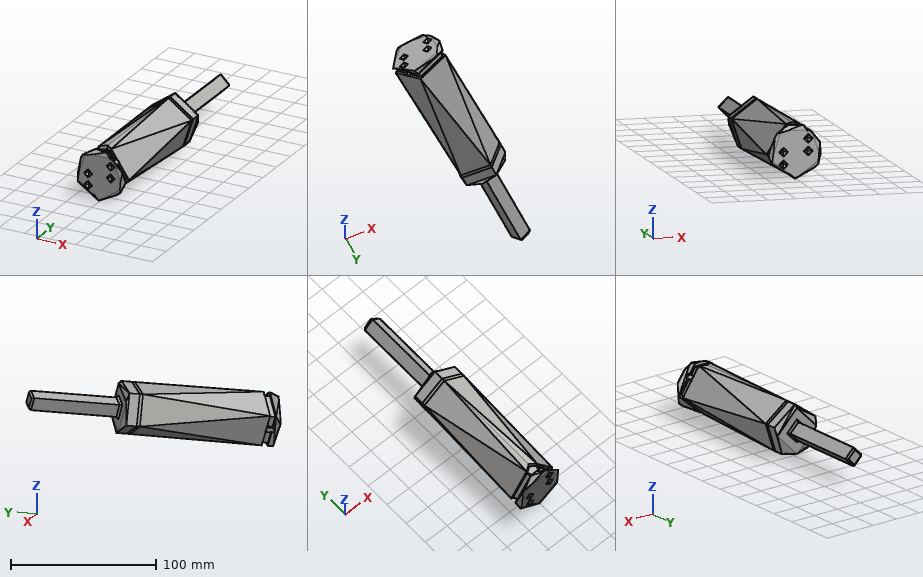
import cadquery as cq
import math

CAP_FRONT = 0
CAP_REAR = 3.9
GRIP_FRONT = 8.3
GRIP_REAR = 100.2
RING_REAR = 102.5
SHOULDER_START = 110.0
COLLAR_REAR = 112.0
FLARE_END = 113.6
TIP_START = 175.4
TIP_END = 177

GRIP_RADIUS = 19.03
SIDE_CORNER_X = 18.85
TOP_CORNER_X = 4.8
TOP_CORNER_Z = 18.0
TOP_RIDGE_Z = 18.5
COLLAR_END_RADIUS = 17.0
SHAFT_RADIUS = 7.0
FLARE_RADIUS = 8.5
TIP_RADIUS = 5.7
NECK_SCALE = 0.88

BOSS_RADIUS = 5.0
BOSS_Y = 6.81
BOSS_BASE = 10.6
BOSS_TOP = 16.0
BOSS_CHAMFER = 0.5

RIM_ANGLES = (72, 138, 206, 268, 326, 385)
FACE_RADIUS = 18.5
BEVEL_GROWTH = 5

PIN_RADIUS = 2.5
PIN_OFFSET = 9.0
PIN_FRONT = 2.1
PIT_OFFSET = 8.8
PIT_RADIUS = 3.1
PIT_DEPTH = 1.8


def polar(radius, angle):
    """Point (x, z) at an angle in degrees, counted from +X towards +Z."""
    turn = math.radians(angle)
    return (radius * math.cos(turn), radius * math.sin(turn))


def regular_ring(sides, radius, first_angle=90):
    return [polar(radius, first_angle + 360 * i / sides) for i in range(sides)]


def prism(ring, y_start, y_end):
    """Straight prism along Y with the outline `ring` of (x, z) points."""
    plane = cq.Plane(origin=(0, y_start, 0), xDir=(1, 0, 0), normal=(0, -1, 0))
    return cq.Workplane(plane).polyline(ring).close().extrude(y_start - y_end)


def ring_angle(point):
    """Angle around the Y axis, counted from 60 degrees so that a ring starts at its top."""
    return (math.degrees(math.atan2(point[1], point[0])) - 60) % 360


def flat_face(points):
    return cq.Face.makeFromWires(cq.Wire.makePolygon(points, close=True))


def faceted(front_ring, y_front, rear_ring, y_rear):
    """Solid between two different outlines, its side made of triangles taken in angular order."""
    front = sorted(front_ring, key=ring_angle)
    rear = sorted(rear_ring, key=ring_angle)
    front_angles = [ring_angle(p) for p in front]
    rear_angles = [ring_angle(p) for p in rear]
    front_points = [cq.Vector(x, y_front, z) for x, z in front]
    rear_points = [cq.Vector(x, y_rear, z) for x, z in rear]
    faces = [flat_face(front_points), flat_face(rear_points)]
    front_points.append(front_points[0])
    rear_points.append(rear_points[0])
    front_angles.append(front_angles[0] + 360)
    rear_angles.append(rear_angles[0] + 360)
    i = 0
    j = 0
    while i < len(front) or j < len(rear):
        step_front = j == len(rear) or (i < len(front) and front_angles[i + 1] <= rear_angles[j + 1])
        if step_front:
            faces.append(flat_face([front_points[i], front_points[i + 1], rear_points[j]]))
            i += 1
        else:
            faces.append(flat_face([front_points[i], rear_points[j], rear_points[j + 1]]))
            j += 1
    solid = cq.Solid.makeSolid(cq.Shell.makeShell(faces)).fix()
    return cq.Workplane(obj=solid)


def pentagon_ring():
    return regular_ring(5, GRIP_RADIUS)


def grip_front_ring():
    """Front outline of the grip: pointed below, two side corners and a slightly ridged top."""
    side_z = -math.sqrt(GRIP_RADIUS**2 - SIDE_CORNER_X**2)
    return [
        (TOP_CORNER_X, TOP_CORNER_Z),
        (0, TOP_RIDGE_Z),
        (-TOP_CORNER_X, TOP_CORNER_Z),
        (-SIDE_CORNER_X, side_z),
        (0, -GRIP_RADIUS),
        (SIDE_CORNER_X, side_z),
    ]


def square_bar(radius, y_start, y_end, x=0, z=0):
    """Square bar along Y standing on one corner."""
    return prism(regular_ring(4, radius), y_start, y_end).translate((x, 0, z))


def make_pin(side):
    """Square pin from the grip into the cap; `side` +1 is at +X and +Z, -1 at -X and -Z."""
    return square_bar(PIN_RADIUS, PIN_FRONT, GRIP_FRONT, side * PIN_OFFSET, side * PIN_OFFSET)


def make_shaft():
    flare = faceted(
        regular_ring(4, FLARE_RADIUS), COLLAR_REAR, regular_ring(4, SHAFT_RADIUS), FLARE_END
    )
    bar = square_bar(SHAFT_RADIUS, FLARE_END, TIP_START)
    tip = faceted(regular_ring(4, SHAFT_RADIUS), TIP_START, regular_ring(4, TIP_RADIUS), TIP_END)
    return flare.union(bar).union(tip)


def make_collar():
    shoulder = faceted(
        pentagon_ring(), SHOULDER_START, regular_ring(4, COLLAR_END_RADIUS), COLLAR_REAR
    )
    return prism(pentagon_ring(), RING_REAR, SHOULDER_START).union(shoulder)


def make_ring():
    return prism(pentagon_ring(), GRIP_REAR, RING_REAR)


def behind_cap(shape):
    """Part of `shape` that lies behind the cap."""
    return shape.intersect(prism(regular_ring(4, 2 * GRIP_RADIUS), CAP_REAR, GRIP_REAR))


def boss_prism(z_start, z_end):
    """Pentagonal prism along Z with one corner pointing to +Y."""
    outline = [(x, y + BOSS_Y) for x, y in regular_ring(5, BOSS_RADIUS)]
    base = cq.Workplane("XY", origin=(0, 0, z_start))
    return base.polyline(outline).close().extrude(z_end - z_start)


def make_grip(pins):
    body = faceted(grip_front_ring(), GRIP_FRONT, pentagon_ring(), GRIP_REAR)
    neck_ring = [(NECK_SCALE * x, NECK_SCALE * z) for x, z in grip_front_ring()]
    neck = prism(neck_ring, CAP_REAR, GRIP_FRONT)
    notch = boss_prism(BOSS_TOP - BOSS_CHAMFER, GRIP_RADIUS)
    boss = boss_prism(BOSS_BASE, BOSS_TOP).faces(">Z").chamfer(BOSS_CHAMFER)
    grip = body.union(neck).cut(notch).union(behind_cap(boss))
    for pin in pins:
        grip = grip.cut(pin)
    return grip


def make_cap(pins):
    rim = [polar(GRIP_RADIUS, angle) for angle in RIM_ANGLES]
    cap = faceted(rim, CAP_FRONT, grip_front_ring(), CAP_REAR)

    bevel_rear_radius = FACE_RADIUS + BEVEL_GROWTH * (CAP_REAR - CAP_FRONT)
    bevel = faceted(
        regular_ring(5, FACE_RADIUS, -90),
        CAP_FRONT,
        regular_ring(5, bevel_rear_radius, -90),
        CAP_REAR,
    )
    cap = cap.intersect(bevel)

    pit_centres = [(side * PIT_OFFSET, z) for side in (-1, 1) for z in (0, side * PIT_OFFSET)]
    for x, z in pit_centres:
        apex = cq.Vector(x, CAP_FRONT + PIT_DEPTH, z)
        base = [cq.Vector(x + dx, CAP_FRONT, z + dz) for dx, dz in regular_ring(4, PIT_RADIUS)]
        sides = [flat_face([base[k - 1], base[k], apex]) for k in range(4)]
        pit = cq.Solid.makeSolid(cq.Shell.makeShell(sides + [flat_face(base)])).fix()
        cap = cap.cut(cq.Workplane(obj=pit))
    for pin in pins:
        cap = cap.cut(pin)
    return cap


pins = [make_pin(side) for side in (-1, 1)]
shaft = make_shaft()
collar = make_collar()
ring = make_ring()
grip = make_grip(pins)
cap = make_cap(pins)

result = cq.Compound.makeCompound(
    [shaft.val(), collar.val(), ring.val(), grip.val(), cap.val(), *[pin.val() for pin in pins]]
)